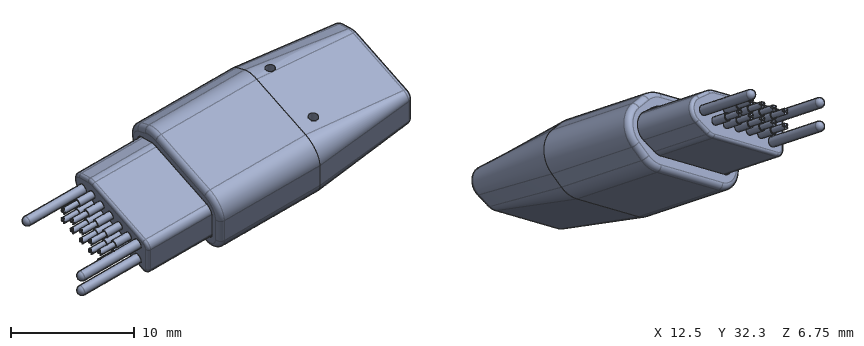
import cadquery as cq
import math

BOOT_END_Y = 16.15
JOINT_Y = 6.2
SHELL_FRONT_Y = -3.8
CORE_FRONT_Y = -10.13
SLEEVE_END_Y = -11.62
PLUNGER_END_Y = -13.1
PIN_TIP_Y = -16.15

NOSE_CENTRE_X = -3.8
SHOULDER_CENTRE_X = -2.58

CORE_HALF_WIDTH = 5.13
CORE_HALF_HEIGHT = 2.03
CORE_NOSE_RADIUS = CORE_HALF_WIDTH + NOSE_CENTRE_X
SHOULDER_CENTRE_Z = CORE_HALF_HEIGHT - CORE_NOSE_RADIUS
CORE_CORNER_RADIUS = 0.68
CORE_EDGE_RADIUS = 0.3

SHELL_HALF_WIDTH = 6.23
SHELL_HEIGHT = 6.75
SHELL_HALF_HEIGHT = SHELL_HEIGHT / 2
SHELL_CORNER_RADIUS = 2.0
SHELL_EDGE_RADIUS = 0.52
CORE_CLEARANCE = 0.08

BOOT_EDGE_RADIUS = 0.42
BOOT_HOLE_DIAMETER = 0.85
BOOT_HOLE_Y = 7.85
BOOT_HOLE_XS = (-3.03, 3.0)
BOOT_HOLE_FLOOR_Z = CORE_HALF_HEIGHT

PIN_DIAMETER = 0.87
PIN_RADIUS = PIN_DIAMETER / 2
PIN_EMBED = 2.0
PIN_ROW_X = 3.8
PIN_PAIR_SPACING = 2.0
PIN_SPREAD_Z = PIN_PAIR_SPACING / 2
PIN_PLACES = ((-PIN_ROW_X, 0.0), (PIN_ROW_X, PIN_SPREAD_Z), (PIN_ROW_X, -PIN_SPREAD_Z))

CONTACT_COLUMNS = 5
CONTACT_ROWS = 2
CONTACT_ROW_LENGTH = 5.07
CONTACT_PITCH = CONTACT_ROW_LENGTH / (CONTACT_COLUMNS - 1)
SLEEVE_DIAMETER = 0.7
PLUNGER_DIAMETER = 0.52
CROWN_GROOVE_WIDTH = 0.25
CROWN_GROOVE_DEPTH = 0.15


def section_plane(y):
    """Workplane across the connector at the given Y, with local x = X, local y = Z, normal = -Y."""
    return cq.Workplane("XZ", origin=(0, y, 0))


def nosed_outline(y, half_width, half_height, corner_radius):
    """Closed nosed outline at the given Y; straight stretches are tangent to their arcs."""
    nose_radius = half_width + NOSE_CENTRE_X
    shoulder_radius = half_height - SHOULDER_CENTRE_Z
    run = SHOULDER_CENTRE_X - NOSE_CENTRE_X
    centre_angle = math.atan2(SHOULDER_CENTRE_Z, run)
    centre_distance = math.hypot(run, SHOULDER_CENTRE_Z)
    slant = centre_angle + math.acos((nose_radius - shoulder_radius) / centre_distance)

    def shoulder_point(angle):
        return (
            SHOULDER_CENTRE_X + shoulder_radius * math.cos(angle),
            SHOULDER_CENTRE_Z + shoulder_radius * math.sin(angle),
        )

    def corner_point(angle):
        return (
            half_width - corner_radius + corner_radius * math.cos(angle),
            half_height - corner_radius + corner_radius * math.sin(angle),
        )

    def mirrored(point):
        return (point[0], -point[1])

    top = math.pi / 2
    shoulder_start = shoulder_point(top)
    shoulder_middle = shoulder_point((top + slant) / 2)
    shoulder_end = shoulder_point(slant)
    nose_start = (NOSE_CENTRE_X + nose_radius * math.cos(slant), nose_radius * math.sin(slant))
    corner_start = corner_point(0)
    corner_middle = corner_point(top / 2)
    corner_end = corner_point(top)
    return (
        section_plane(y)
        .moveTo(*corner_end)
        .lineTo(*shoulder_start)
        .threePointArc(shoulder_middle, shoulder_end)
        .lineTo(*nose_start)
        .threePointArc((-half_width, 0), mirrored(nose_start))
        .lineTo(*mirrored(shoulder_end))
        .threePointArc(mirrored(shoulder_middle), mirrored(shoulder_start))
        .lineTo(*mirrored(corner_end))
        .threePointArc(mirrored(corner_middle), mirrored(corner_start))
        .lineTo(*corner_start)
        .threePointArc(corner_middle, corner_end)
        .close()
    )


def core_outline(y, clearance=0.0):
    return nosed_outline(
        y,
        CORE_HALF_WIDTH + clearance,
        CORE_HALF_HEIGHT + clearance,
        CORE_CORNER_RADIUS + clearance,
    )


def shell_outline(y):
    return nosed_outline(y, SHELL_HALF_WIDTH, SHELL_HALF_HEIGHT, SHELL_CORNER_RADIUS)


def make_shell():
    """Straight sleeve around the core, rounded at its front rim."""
    body = shell_outline(JOINT_Y).extrude(JOINT_Y - SHELL_FRONT_Y)
    body = body.faces("<Y").edges().fillet(SHELL_EDGE_RADIUS)
    bore = core_outline(JOINT_Y, CORE_CLEARANCE).extrude(JOINT_Y - SHELL_FRONT_Y)
    return body.cut(bore)


def make_boot():
    """Solid tail that tapers from the shell outline to the core outline."""
    large_end = shell_outline(JOINT_Y).val()
    small_end = core_outline(BOOT_END_Y).val()
    taper = cq.Workplane(cq.Solid.makeLoft([large_end, small_end], True))
    taper = taper.faces(">Y").edges().fillet(BOOT_EDGE_RADIUS)
    holes = (
        cq.Workplane("XY", origin=(0, 0, BOOT_HOLE_FLOOR_Z))
        .pushPoints([(x, BOOT_HOLE_Y) for x in BOOT_HOLE_XS])
        .circle(BOOT_HOLE_DIAMETER / 2)
        .extrude(SHELL_HALF_HEIGHT)
    )
    return taper.cut(holes)


def make_contact(x, z):
    """Stepped contact whose plunger tip carries two crossed V grooves."""
    sleeve = section_plane(CORE_FRONT_Y).center(x, z).circle(SLEEVE_DIAMETER / 2)
    sleeve = sleeve.extrude(CORE_FRONT_Y - SLEEVE_END_Y)
    plunger = section_plane(SLEEVE_END_Y).center(x, z).circle(PLUNGER_DIAMETER / 2)
    plunger = plunger.extrude(SLEEVE_END_Y - PLUNGER_END_Y)
    groove = (
        cq.Workplane("XY", origin=(x, PLUNGER_END_Y, z))
        .polyline([(-CROWN_GROOVE_WIDTH / 2, 0), (0, CROWN_GROOVE_DEPTH), (CROWN_GROOVE_WIDTH / 2, 0)])
        .close()
        .extrude(PLUNGER_DIAMETER / 2, both=True)
    )
    crossing_groove = groove.rotate((x, 0, z), (x, 1, z), 90)
    return sleeve.union(plunger.cut(groove).cut(crossing_groove))


def make_pin(x, z):
    """Guide pin with a hemispherical tip."""
    dome_y = PIN_TIP_Y + PIN_RADIUS
    root_y = CORE_FRONT_Y + PIN_EMBED
    shaft = section_plane(root_y).center(x, z).circle(PIN_RADIUS).extrude(root_y - dome_y)
    dome = cq.Workplane("XY", origin=(x, dome_y, z)).sphere(PIN_RADIUS)
    return shaft.union(dome)


def make_core(pins):
    """Insulating core with its contacts, and holes that fit the guide pins."""
    core = core_outline(JOINT_Y).extrude(JOINT_Y - CORE_FRONT_Y)
    core = core.faces("<Y").edges().fillet(CORE_EDGE_RADIUS)
    for pin in pins:
        core = core.cut(pin)
    for column in range(CONTACT_COLUMNS):
        for row in range(CONTACT_ROWS):
            x = (column - (CONTACT_COLUMNS - 1) / 2) * CONTACT_PITCH
            z = (row - (CONTACT_ROWS - 1) / 2) * CONTACT_PITCH
            core = core.union(make_contact(x, z))
    return core


guide_pins = [make_pin(x, z) for x, z in PIN_PLACES]
core = make_core(guide_pins)
shell = make_shell()
boot = make_boot()

result = cq.Compound.makeCompound(
    [boot.val(), shell.val(), core.val(), *[pin.val() for pin in guide_pins]]
)